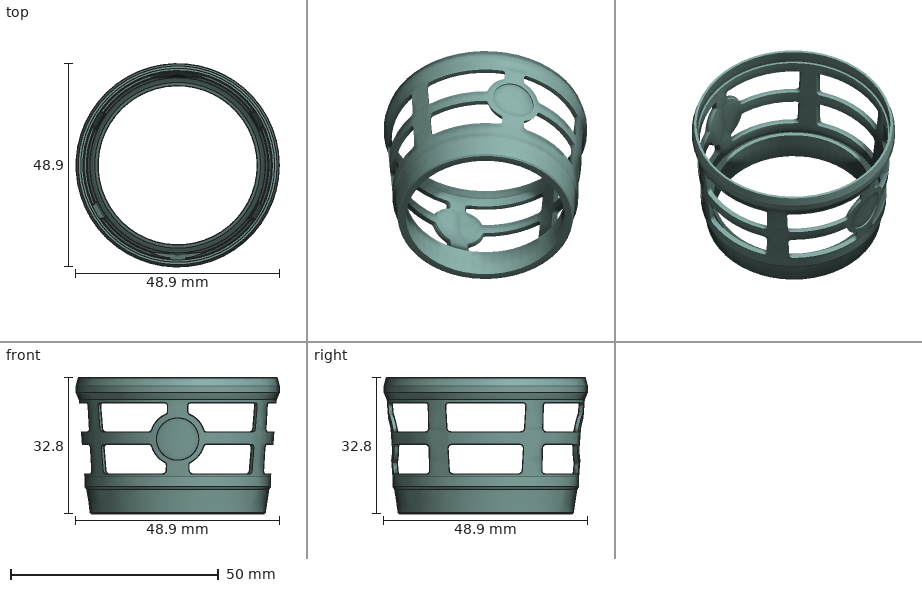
import cadquery as cq
import math

height = 32.75
bottom_chamfer = 0.35
skirt_top_z = 5.85
lower_ring_z = 6.6
cage_bottom_z = 9.05
cage_top_z = 27.45
rim_belt_bottom_z = 29.2
rim_belt_top_z = 30.8

bottom_radius = 21.05
skirt_top_radius = 21.9
lower_ring_radius = 22.35
cage_top_radius = 23.7
max_radius = 24.45
top_radius = 23.9

bore_radius = 19.1
lip_radius = 19.95
lip_top_z = 7.55
lower_inner_radius = 21.05
cage_inner_top_radius = 22.75
rim_ledge_z = 29.4
rim_inner_radius = 23.3

plate_sides = (0, 1, -1, 0, 1, -1)
column_pitch = 360 / len(plate_sides)
lower_row = (9.65, 16.7)
upper_row = (19.75, 26.7)
window_half_width = 8.7
window_side_slope = 0.056
corner_radius = 0.95
top_corner_radius = 0.65
cutter_start = 12.2
cutter_length = 17.1

plate_z = 18.0
plate_radius = 6.55
plate_offset = 11.88
plate_blend_radius = 0.65
recess_radius = 5.1
recess_depth = 0.35
match_tolerance = 0.0005


def make_body():
    """Revolve the wall, with the groove and lip inside the lower ring."""
    profile = [
        (bore_radius, 0),
        (bottom_radius - bottom_chamfer, 0),
        (bottom_radius, bottom_chamfer),
        (skirt_top_radius, skirt_top_z),
        (lower_ring_radius, lower_ring_z),
        (lower_ring_radius, cage_bottom_z),
        (cage_top_radius, cage_top_z),
        (max_radius, rim_belt_bottom_z),
        (max_radius, rim_belt_top_z),
        (top_radius, height),
        (rim_inner_radius, height),
        (rim_inner_radius, rim_ledge_z),
        (cage_inner_top_radius, rim_ledge_z),
        (lower_inner_radius, cage_bottom_z),
        (lower_inner_radius, lower_ring_z),
        (lip_radius, lower_ring_z),
        (lip_radius, lip_top_z),
        (bore_radius, lip_top_z),
    ]
    return cq.Workplane("XZ").polyline(profile).close().revolve(360, (0, 0), (0, 1))


def make_window(row, upper_corner_radius, plate_side):
    """Cutter for one window, pointing along +X.

    plate_side is 1 or -1 when a round plate bulges into that end, else 0.
    """
    bottom_z, top_z = row
    bottom_half = window_half_width + window_side_slope * (bottom_z - lower_row[0])
    top_half = window_half_width + window_side_slope * (top_z - lower_row[0])
    outline = [
        (-bottom_half, bottom_z),
        (bottom_half, bottom_z),
        (top_half, top_z),
        (-top_half, top_z),
    ]
    plane = cq.Workplane("YZ", origin=(cutter_start, 0, 0))
    window = plane.polyline(outline).close().extrude(cutter_length)
    window = window.edges("|X and <Z").fillet(corner_radius)
    window = window.edges("|X and >Z").fillet(upper_corner_radius)
    if plate_side == 0:
        return window

    plate_y = plate_side * plate_offset

    def lies_on_plate(edge):
        middle = edge.Center()
        distance = math.hypot(middle.y - plate_y, middle.z - plate_z)
        return math.isclose(distance, plate_radius, abs_tol=match_tolerance)

    plate = plane.center(plate_y, plate_z).circle(plate_radius).extrude(cutter_length)
    return window.cut(plate).edges("|X").filter(lies_on_plate).fillet(plate_blend_radius)


def make_recess():
    """Cutter for both round recesses, of even depth below the cage wall."""
    cage_rise = cage_top_z - cage_bottom_z
    wall_slope = (cage_top_radius - lower_ring_radius) / cage_rise
    depth_across = recess_depth * math.sqrt(1 + wall_slope**2)
    core = (
        cq.Workplane("XY", origin=(0, 0, cage_bottom_z))
        .circle(lower_ring_radius - depth_across)
        .workplane(offset=cage_rise)
        .circle(cage_top_radius - depth_across)
        .loft(ruled=True)
    )
    plugs = cq.Workplane("XZ", origin=(0, 0, plate_z)).circle(recess_radius)
    return plugs.extrude(cutter_start + cutter_length, both=True).cut(core)


body = make_body()

for row, upper_corner_radius in ((lower_row, corner_radius), (upper_row, top_corner_radius)):
    for index, plate_side in enumerate(plate_sides):
        window = make_window(row, upper_corner_radius, plate_side)
        body = body.cut(window.rotate((0, 0, 0), (0, 0, 1), index * column_pitch))

result = body.cut(make_recess())